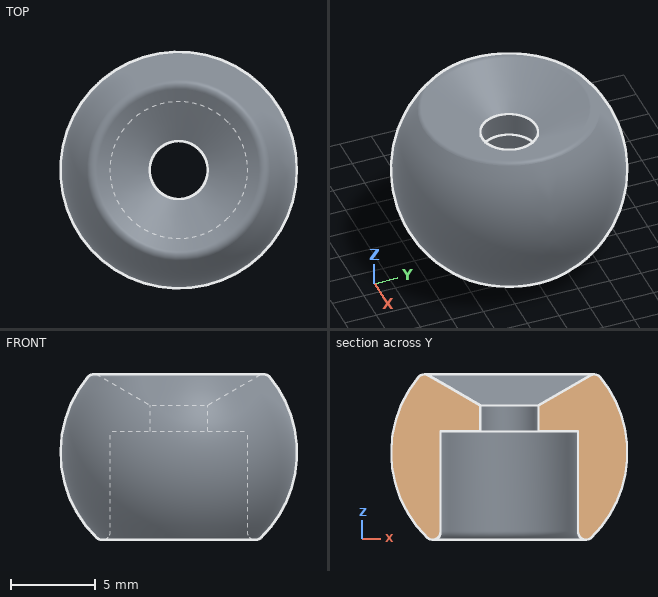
import cadquery as cq
import math

ball_radius = 6.98
height = 9.77
hole_radius = 3.4 / 2
bore_radius = 8.1 / 2
rim_radius = 0.47
cone_slope = math.radians(30)
web_thickness = 1.54

rim_reach = ball_radius - rim_radius
bottom_rim = (bore_radius + rim_radius, rim_radius)
ball_z = bottom_rim[1] + math.sqrt(rim_reach**2 - bottom_rim[0] ** 2)
top_rim_z = height - rim_radius
top_rim = (math.sqrt(rim_reach**2 - (top_rim_z - ball_z) ** 2), top_rim_z)


def polar(center, radius, angle):
    """Point of a circle in the radius-height plane."""
    return (center[0] + radius * math.cos(angle), center[1] + radius * math.sin(angle))


top_angle = math.atan2(top_rim[1] - ball_z, top_rim[0])
bottom_angle = math.atan2(bottom_rim[1] - ball_z, bottom_rim[0])
ball_center = (0, ball_z)
ball_top = polar(ball_center, ball_radius, top_angle)
ball_bottom = polar(ball_center, ball_radius, bottom_angle)
cone_top = polar(top_rim, rim_radius, math.pi / 2 + cone_slope)

seat_z = cone_top[1] - (cone_top[0] - hole_radius) * math.tan(cone_slope)
bore_top_z = seat_z - web_thickness

profile = (
    cq.Workplane("XZ")
    .moveTo(bore_radius, rim_radius)
    .threePointArc((bottom_rim[0], 0), ball_bottom)
    .threePointArc((ball_radius, ball_z), ball_top)
    .threePointArc((top_rim[0], height), cone_top)
    .lineTo(hole_radius, seat_z)
    .lineTo(hole_radius, bore_top_z)
    .lineTo(bore_radius, bore_top_z)
    .close()
)

result = profile.revolve(360, (0, 0, 0), (0, 1, 0))